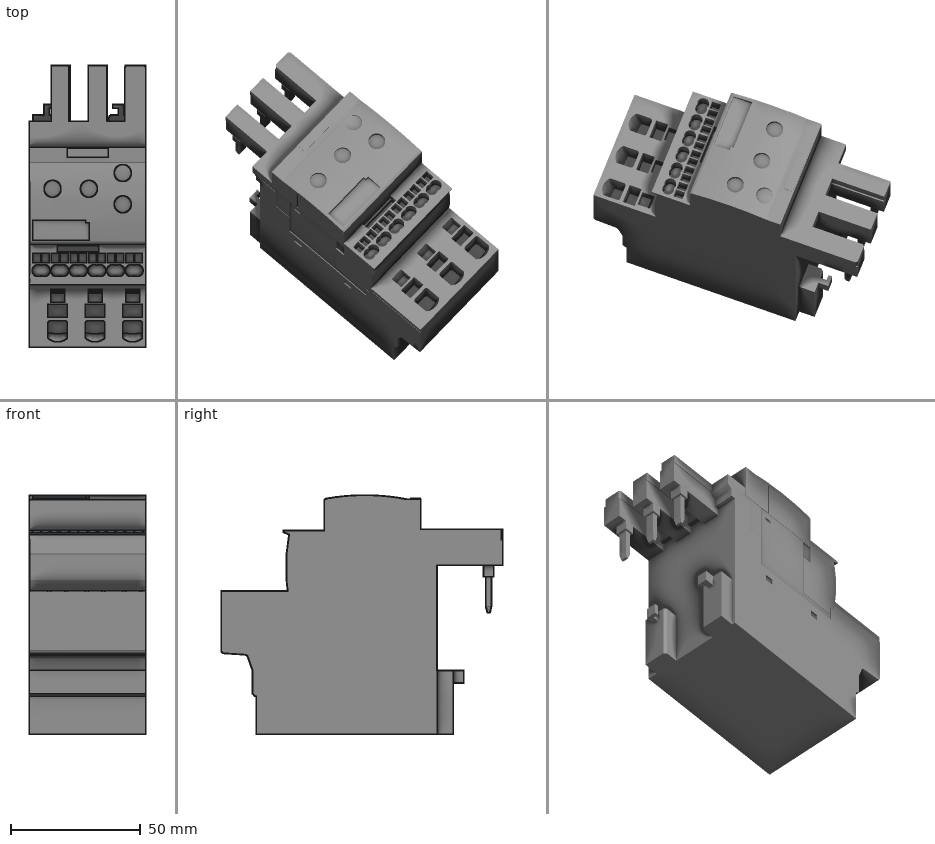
import cadquery as cq


WIDTH = 45.0
REAR_WALL_Y = 83.2
PLATE_REAR_Y = 87.1
PLATE_LOW_Z = 73.6
LEDGE_REAR_Y = 85.1
LEDGE_Z = (68.5, 72.3)
PLATE_TOP_Z = 79.1
HEAD_REAR_Y = 77.0
HEAD_FRONT_Y = 39.7
HEAD_BASE_Z = 75.0
HEAD_EDGE_Z = 90.7
HEAD_CREST_Z = 92.2
ABOVE_HEAD_Z = 93.4
HEAD_CREASE_Y = 71.2
HEAD_BEVEL_REAR = (40.6, 90.9)
HEAD_BEVEL_Z = 90.5
SHOULDER_TOP_Z = 78.6
LIP_FRONT_Y = 24.0
LIP_LOW_Z = 77.9
LIP_ROOT = (26.2, 77.0)
CONNECTOR_FRONT_Y = 25.2
CONNECTOR_FRONT_TOP_Z = 69.6
CONNECTOR_FRONT_LOW_Z = 59.3
CONNECTOR_ROOT_Y = 25.6
CONNECTOR_FOOT = (26.7, 50.1)
TERMINAL_TOP_Z = 55.3
TERMINAL_LOW_Z = 31.3
TERMINAL_EDGE_RADIUS = 1.3
THROAT_TOP = (10.0, 30.6)
THROAT_LOW = (12.1, 24.8)
STEP_Z = 14.7
STEP_CHAMFER = 1.1
BASE_FRONT_Y = 13.6

ARM_REAR_Y = 108.6
ARM_BOTTOM_Z = 65.2
ARM_CAPS = [(8.5, 15.3), (22.7, 30.1), (36.8, WIDTH)]
ARM_BARS = [(8.7, 15.9), (22.9, 30.1), (37.0, WIDTH)]
ARM_CORNER = 0.8
PIN_Y = 103.1
PIN_OFFSET_X = 2.5
COLLAR_WIDTH = 5.0
COLLAR_DEPTH = 4.0
COLLAR_BOTTOM_Z = 60.7
PIN_WIDTH = 3.5
PIN_DEPTH = 2.3
PIN_SHOULDER_Z = 49.3
PIN_TIP_Z = 46.8
PIN_TIP_WIDTH = 2.6
PIN_TIP_DEPTH = 1.0

FOOT_CENTRE_X = 21.1
FOOT_OUTER_X = 1.4
FOOT_INNER_X = 11.6
FOOT_REAR_Y = 89.5
FOOT_TOP_Z = 24.7
FOOT_CHAMFER = 1.0
HOOK_BOTTOM_Z = 19.8
HOOK_REAR_Y = 93.5
HOOK_BAR_DEPTH = 1.5
HOOK_OUTER_X = 5.6
HOOK_NECK_WIDTH = 2.2
HOOK_BAR_LENGTH = 4.3

BUTTON_RADIUS = 3.3
BUTTON_CENTRES = [(9.0, 61.0), (23.0, 61.0), (36.1, 67.1), (36.1, 55.1)]
BUTTON_FLOOR_Z = 90.8
LABEL_X = (1.4, 23.1)
LABEL_Y = (41.3, 49.0)
LABEL_NOTCH = (1.4, 1.1)
LABEL_FLOOR_Z = 90.4
BADGE_X = (14.7, 30.4)
BADGE_Y = (73.1, 76.7)
BADGE_HEIGHT = 0.2

CONTACT_COUNT = 6
CONTACT_PITCH = 7.2
CONTACT_START_X = 1.4
CONTACT_WIDTH = 6.4
CONTACT_Y = (32.5, 36.2)
CONTACT_WALL = 0.4
WIRE_HOLE_RADIUS = 2.3
WIRE_HOLE_SPACING = 2.3
WIRE_HOLE_Y = 29.5
CONNECTOR_DEPTH = 5.4
LATCH_X = (10.9, 26.8)
LATCH_Y = (36.8, HEAD_FRONT_Y)
LATCH_DEPTH = 5.4
LATCH_LEDGE_WIDTH = 0.7
LATCH_LEDGE_DROP = 2.7

TERMINAL_COUNT = 3
TERMINAL_PITCH = 14.4
TERMINAL_START_X = 11.0
TERMINAL_DEPTH = 8.7
PROBE_WIDTH = 5.4
PROBE_Y = (17.3, 22.4)
PROBE_DEPTH = 4.3
PROBE_SLOPE = 1.5
RELEASE_WIDTH = 7.5
RELEASE_Y = (11.6, 16.5)
ENTRY_Y = (2.1, 10.2)
ENTRY_REAR_RADIUS = 1.0
ENTRY_BULGE = 1.5
ENTRY_FLOOR_FRONT_Y = 5.2
ENTRY_FLOOR_BULGE = 0.3

COVER_REAR_Y = 67.5
COVER_STEP_Y = 43.8
COVER_FRONT_Y = 28.5
COVER_BOTTOM_Z = 44.0
COVER_LEDGE_Z = 46.5
CATCH_Z = (66.2, 74.4)
TERMINAL_CAP_Z = 52.7
TERMINAL_CAP_RECESS = 0.1
COVER_RECESS = 0.2
CONNECTOR_RECESS = 0.1
BRACKET_RECESS = 0.1
BRACKET_SLOPE_TOP_Y = 84.4
BRACKET_SLOPE_LOW = (82.2, 73.0)
BRACKET_LEG_Y = 74.9
BRACKET_BOTTOM_Z = 58.1
SEAM_WIDTH = 0.3
SEAM_DEPTH = 0.5
CATCH_DEPTH = 0.7
SLOT_DEPTH = 0.7
HEAD_SEAM_Y = (63.5, 64.3)
HEAD_SEAM_TOP_Z = 90.1
SIDE_SLOTS = [
    ((62.7, 65.5), (70.3, 71.7)),
    ((61.7, 65.5), (37.2, 40.0)),
    ((36.1, 39.5), (37.2, 40.0)),
]


def block(x_range, y_range, z_range):
    """Box spanning the given ranges."""
    spans = [high - low for low, high in (x_range, y_range, z_range)]
    corner = (x_range[0], y_range[0], z_range[0])
    return cq.Workplane("XY").box(*spans, centered=False).translate(corner)


def side_region(outline, depth):
    """Prism with a (Y, Z) outline, reaching from the left side wall inwards."""
    return cq.Workplane("YZ").polyline(outline).close().extrude(depth)


def housing():
    """Main profile in the YZ plane, extruded over the full width."""
    crest_y = (HEAD_CREASE_Y + HEAD_BEVEL_REAR[0]) / 2
    profile = (
        cq.Workplane("YZ")
        .moveTo(BASE_FRONT_Y, 0)
        .lineTo(REAR_WALL_Y, 0)
        .lineTo(REAR_WALL_Y, LEDGE_Z[0])
        .lineTo(LEDGE_REAR_Y, LEDGE_Z[0])
        .lineTo(LEDGE_REAR_Y, LEDGE_Z[1])
        .lineTo(PLATE_REAR_Y, PLATE_LOW_Z)
        .lineTo(PLATE_REAR_Y, PLATE_TOP_Z)
        .lineTo(HEAD_REAR_Y, PLATE_TOP_Z)
        .lineTo(HEAD_REAR_Y, HEAD_EDGE_Z)
        .lineTo(HEAD_CREASE_Y, HEAD_EDGE_Z)
        .threePointArc((crest_y, HEAD_CREST_Z), HEAD_BEVEL_REAR)
        .lineTo(HEAD_FRONT_Y, HEAD_BEVEL_Z)
        .lineTo(HEAD_FRONT_Y, SHOULDER_TOP_Z)
        .lineTo(LIP_FRONT_Y, SHOULDER_TOP_Z)
        .lineTo(LIP_FRONT_Y, LIP_LOW_Z)
        .lineTo(*LIP_ROOT)
        .lineTo(CONNECTOR_FRONT_Y, CONNECTOR_FRONT_TOP_Z)
        .lineTo(CONNECTOR_FRONT_Y, CONNECTOR_FRONT_LOW_Z)
        .lineTo(CONNECTOR_ROOT_Y, TERMINAL_TOP_Z)
        .lineTo(0, TERMINAL_TOP_Z)
        .lineTo(0, TERMINAL_LOW_Z)
        .lineTo(*THROAT_TOP)
        .lineTo(*THROAT_LOW)
        .lineTo(THROAT_LOW[0], STEP_Z)
        .lineTo(BASE_FRONT_Y, STEP_Z)
        .close()
    )
    body = profile.extrude(WIDTH)
    for y, z in ((0, TERMINAL_LOW_Z), THROAT_TOP):
        edge = cq.selectors.NearestToPointSelector((WIDTH / 2, y, z))
        body = body.edges("|X").edges(edge).fillet(TERMINAL_EDGE_RADIUS)
    step_edge = cq.selectors.NearestToPointSelector((WIDTH / 2, THROAT_LOW[0], STEP_Z))
    return body.edges("|X").edges(step_edge).chamfer(STEP_CHAMFER)


def busbar_pin(x):
    """Collar and tapered contact pin under an arm, centred on x."""
    collar = block(
        (x - COLLAR_WIDTH / 2, x + COLLAR_WIDTH / 2),
        (PIN_Y - COLLAR_DEPTH / 2, PIN_Y + COLLAR_DEPTH / 2),
        (COLLAR_BOTTOM_Z, ARM_BOTTOM_Z),
    )
    blade = block(
        (x - PIN_WIDTH / 2, x + PIN_WIDTH / 2),
        (PIN_Y - PIN_DEPTH / 2, PIN_Y + PIN_DEPTH / 2),
        (PIN_SHOULDER_Z, COLLAR_BOTTOM_Z),
    )
    tip = (
        cq.Workplane("XY", origin=(x, PIN_Y, PIN_SHOULDER_Z))
        .rect(PIN_WIDTH, PIN_DEPTH)
        .workplane(offset=PIN_TIP_Z - PIN_SHOULDER_Z)
        .rect(PIN_TIP_WIDTH, PIN_TIP_DEPTH)
        .loft()
    )
    return collar.union(blade).union(tip)


def busbar_arms():
    """Three arms behind the plate, each a bar with a cap on top and a pin below."""
    arms = cq.Workplane("XY")
    for cap_x, bar_x in zip(ARM_CAPS, ARM_BARS):
        cap = block(cap_x, (HEAD_REAR_Y, ARM_REAR_Y), (HEAD_BASE_Z, PLATE_TOP_Z))
        if cap_x == ARM_CAPS[-1]:
            cap = cap.faces(">Y").edges("|Z").chamfer(ARM_CORNER)
        bar = block(bar_x, (HEAD_REAR_Y, ARM_REAR_Y), (ARM_BOTTOM_Z, HEAD_BASE_Z))
        arms = arms.union(cap).union(bar).union(busbar_pin(cap_x[0] + PIN_OFFSET_X))
    return arms


def mounting_feet():
    """Left foot with its L-shaped hook, and its mirror image."""
    foot = block((FOOT_OUTER_X, FOOT_INNER_X), (REAR_WALL_Y, FOOT_REAR_Y), (0, FOOT_TOP_Z))
    foot = foot.faces(">Y").edges("|Z").edges(">X").chamfer(FOOT_CHAMFER)
    hook_z = (HOOK_BOTTOM_Z, FOOT_TOP_Z)
    neck = block((HOOK_OUTER_X, HOOK_OUTER_X + HOOK_NECK_WIDTH), (FOOT_REAR_Y, HOOK_REAR_Y), hook_z)
    bar = block(
        (HOOK_OUTER_X, HOOK_OUTER_X + HOOK_BAR_LENGTH),
        (HOOK_REAR_Y - HOOK_BAR_DEPTH, HOOK_REAR_Y),
        hook_z,
    )
    left = foot.union(neck).union(bar)
    return left.union(left.mirror("YZ", (FOOT_CENTRE_X, 0, 0)))


def head_recesses():
    """Round button recesses and the notched label pocket in the curved top."""
    buttons = (
        cq.Workplane("XY", origin=(0, 0, BUTTON_FLOOR_Z))
        .pushPoints(BUTTON_CENTRES)
        .circle(BUTTON_RADIUS)
        .extrude(ABOVE_HEAD_Z - BUTTON_FLOOR_Z)
    )
    label = block(LABEL_X, LABEL_Y, (LABEL_FLOOR_Z, ABOVE_HEAD_Z))
    notch = block(
        (LABEL_X[1] - LABEL_NOTCH[0], LABEL_X[1]),
        (LABEL_Y[1] - LABEL_NOTCH[1], LABEL_Y[1]),
        (LABEL_FLOOR_Z, ABOVE_HEAD_Z),
    )
    return buttons.union(label.cut(notch))


def connector_openings():
    """Paired test openings, twin wire holes and the latch pocket in the shoulder."""
    depth_range = (SHOULDER_TOP_Z - CONNECTOR_DEPTH, SHOULDER_TOP_Z)
    ledge_y = LATCH_Y[1] - LATCH_LEDGE_WIDTH
    latch = block(LATCH_X, (LATCH_Y[0], ledge_y), (SHOULDER_TOP_Z - LATCH_DEPTH, SHOULDER_TOP_Z))
    ledge = block(LATCH_X, (ledge_y, LATCH_Y[1]), (SHOULDER_TOP_Z - LATCH_LEDGE_DROP, SHOULDER_TOP_Z))
    cutter = latch.union(ledge)
    for index in range(CONTACT_COUNT):
        left = CONTACT_START_X + index * CONTACT_PITCH
        right = left + CONTACT_WIDTH
        middle = (left + right) / 2
        cutter = cutter.union(block((left, middle - CONTACT_WALL / 2), CONTACT_Y, depth_range))
        cutter = cutter.union(block((middle + CONTACT_WALL / 2, right), CONTACT_Y, depth_range))
        for x in (middle - WIRE_HOLE_SPACING / 2, middle + WIRE_HOLE_SPACING / 2):
            hole = cq.Workplane("XY", origin=(x, WIRE_HOLE_Y, depth_range[0]))
            cutter = cutter.union(hole.circle(WIRE_HOLE_RADIUS).extrude(CONNECTOR_DEPTH))
    return cutter


def entry_outline(x_range, y_range, bulge, z):
    """Wire entry outline at height z: straight rear and sides, front bulging towards -Y."""
    middle = (x_range[0] + x_range[1]) / 2
    side_front_y = y_range[0] + bulge
    return (
        cq.Workplane("XY", origin=(0, 0, z))
        .moveTo(x_range[0], side_front_y)
        .threePointArc((middle, y_range[0]), (x_range[1], side_front_y))
        .lineTo(x_range[1], y_range[1])
        .lineTo(x_range[0], y_range[1])
        .close()
        .val()
    )


def terminal_openings(x):
    """Probe, release and wire entry openings of one main terminal, centred on x."""
    probe_floor = TERMINAL_TOP_Z - PROBE_DEPTH
    probe = side_region(
        [
            (PROBE_Y[0], TERMINAL_TOP_Z),
            (PROBE_Y[1], TERMINAL_TOP_Z),
            (PROBE_Y[1] - PROBE_SLOPE, probe_floor),
            (PROBE_Y[0], probe_floor),
        ],
        PROBE_WIDTH,
    ).translate((x - PROBE_WIDTH / 2, 0, 0))

    floor = TERMINAL_TOP_Z - TERMINAL_DEPTH
    side_x = (x - RELEASE_WIDTH / 2, x + RELEASE_WIDTH / 2)
    release = block(side_x, RELEASE_Y, (floor, TERMINAL_TOP_Z))

    rim = entry_outline(side_x, ENTRY_Y, ENTRY_BULGE, TERMINAL_TOP_Z)
    bottom = entry_outline(side_x, (ENTRY_FLOOR_FRONT_Y, ENTRY_Y[1]), ENTRY_FLOOR_BULGE, floor)
    entry = cq.Workplane(cq.Solid.makeLoft([bottom, rim], True))
    entry = entry.faces(">Y").edges("<X or >X").fillet(ENTRY_REAR_RADIUS)
    return probe.union(release).union(entry)


def side_wall_cuts():
    """Shallow steps, seams, catch pocket and slots in the left side wall."""
    cover = [
        (COVER_REAR_Y, COVER_BOTTOM_Z),
        (COVER_REAR_Y, HEAD_BASE_Z),
        (HEAD_FRONT_Y, HEAD_BASE_Z),
        (HEAD_FRONT_Y, CATCH_Z[0]),
        (COVER_STEP_Y, CATCH_Z[0]),
        (COVER_STEP_Y, COVER_LEDGE_Z),
        (COVER_FRONT_Y, COVER_LEDGE_Z),
        (COVER_FRONT_Y, COVER_BOTTOM_Z),
    ]
    connector = [
        (HEAD_SEAM_Y[0], HEAD_BASE_Z),
        (HEAD_SEAM_Y[0], ABOVE_HEAD_Z),
        (LIP_FRONT_Y, ABOVE_HEAD_Z),
        (LIP_FRONT_Y, TERMINAL_TOP_Z),
        (CONNECTOR_ROOT_Y, TERMINAL_TOP_Z),
        CONNECTOR_FOOT,
        (COVER_FRONT_Y, CONNECTOR_FOOT[1]),
        (COVER_FRONT_Y, COVER_LEDGE_Z),
        (COVER_STEP_Y, COVER_LEDGE_Z),
        (COVER_STEP_Y, HEAD_BASE_Z),
    ]
    bracket = [
        (PLATE_REAR_Y, PLATE_TOP_Z),
        (PLATE_REAR_Y, HEAD_BASE_Z),
        (BRACKET_SLOPE_TOP_Y, HEAD_BASE_Z),
        BRACKET_SLOPE_LOW,
        (BRACKET_LEG_Y, BRACKET_SLOPE_LOW[1]),
        (BRACKET_LEG_Y, BRACKET_BOTTOM_Z),
        (COVER_REAR_Y, BRACKET_BOTTOM_Z),
        (COVER_REAR_Y, HEAD_BASE_Z),
        (HEAD_REAR_Y, HEAD_BASE_Z),
        (HEAD_REAR_Y, PLATE_TOP_Z),
    ]
    cuts = side_region(cover, COVER_RECESS)
    cuts = cuts.union(side_region(connector, CONNECTOR_RECESS))
    cuts = cuts.union(side_region(bracket, BRACKET_RECESS))

    cap_range = (TERMINAL_CAP_Z, TERMINAL_TOP_Z)
    cuts = cuts.union(block((0, TERMINAL_CAP_RECESS), (0, CONNECTOR_FRONT_Y), cap_range))

    seam_x = (0, SEAM_DEPTH)
    seam_corner_y = COVER_REAR_Y + SEAM_WIDTH
    seams = [
        ((COVER_REAR_Y, seam_corner_y), (COVER_BOTTOM_Z, HEAD_BASE_Z)),
        ((COVER_FRONT_Y - SEAM_WIDTH, seam_corner_y), (COVER_BOTTOM_Z - SEAM_WIDTH, COVER_BOTTOM_Z)),
        ((COVER_FRONT_Y - SEAM_WIDTH, COVER_FRONT_Y), (COVER_BOTTOM_Z, CONNECTOR_FOOT[1])),
        (HEAD_SEAM_Y, (HEAD_BASE_Z, HEAD_SEAM_TOP_Z)),
    ]
    for y_range, z_range in seams:
        cuts = cuts.union(block(seam_x, y_range, z_range))

    cuts = cuts.union(block((0, CATCH_DEPTH), (HEAD_FRONT_Y, COVER_STEP_Y), CATCH_Z))
    for y_range, z_range in SIDE_SLOTS:
        cuts = cuts.union(block((0, SLOT_DEPTH), y_range, z_range))
    return cuts


body = housing().union(busbar_arms()).union(mounting_feet())
body = body.union(block(BADGE_X, BADGE_Y, (HEAD_EDGE_Z, HEAD_EDGE_Z + BADGE_HEIGHT)))
body = body.cut(head_recesses()).cut(connector_openings()).cut(side_wall_cuts())
for terminal in range(TERMINAL_COUNT):
    body = body.cut(terminal_openings(TERMINAL_START_X + terminal * TERMINAL_PITCH))

result = body